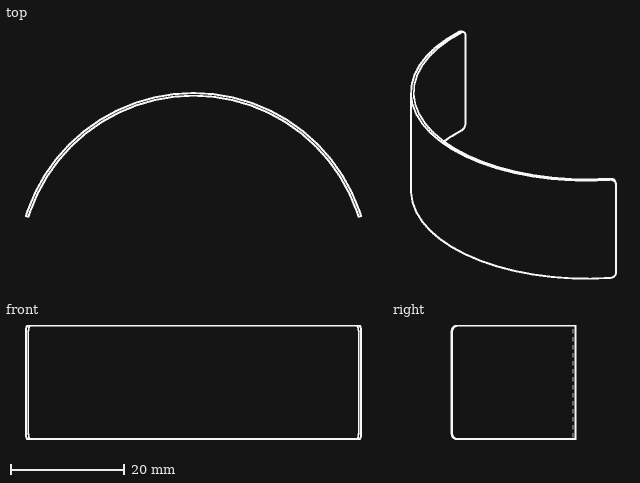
import cadquery as cq
import math

width = 59.15
height = 20.0
outer_radius = 31.0
thickness = 0.5
corner_radius = 1.0

inner_radius = outer_radius - thickness
half_angle = math.asin(width / 2 / outer_radius)


def arc_point(radius, angle):
    """Point on an arc about the origin, with the angle measured from +Y toward +X."""
    return (radius * math.sin(angle), radius * math.cos(angle))


def curved_band():
    """Thin cylindrical band with radial ends, bulging toward +Y."""
    return (
        cq.Workplane("XY")
        .moveTo(*arc_point(outer_radius, -half_angle))
        .threePointArc(arc_point(outer_radius, 0), arc_point(outer_radius, half_angle))
        .lineTo(*arc_point(inner_radius, half_angle))
        .threePointArc(arc_point(inner_radius, 0), arc_point(inner_radius, -half_angle))
        .close()
        .extrude(height)
    )


def round_end_corners(band):
    """Round the top and bottom corners of both radial ends."""
    end_faces = band.faces("#Z").faces("%PLANE")
    corner_edges = end_faces.edges("#Z")
    return corner_edges.fillet(corner_radius)


result = round_end_corners(curved_band())